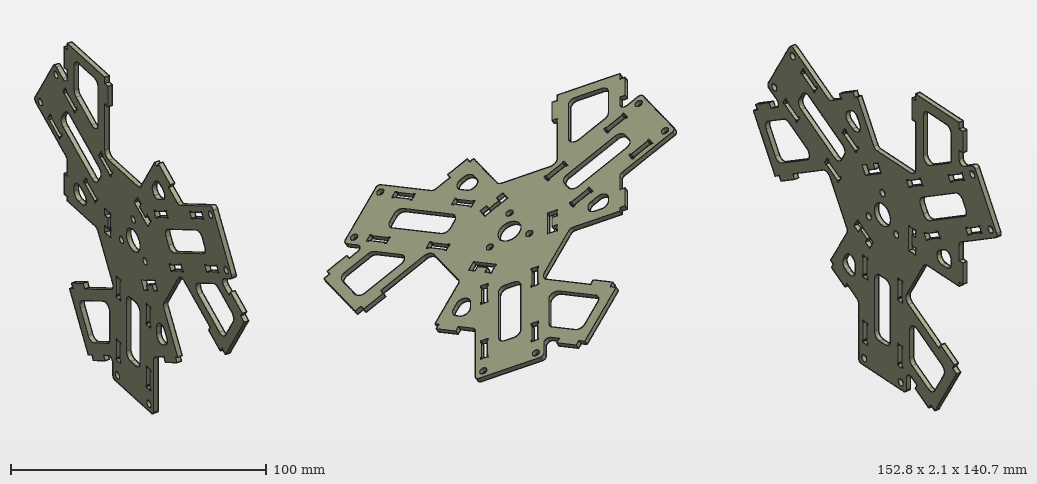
import cadquery as cq
import math

thickness = 2.1
sector_count = 3
sector_angle = 360 / sector_count

hub_apothem = 27.8
hub_side_facing = math.radians(210)
bore_diameter = 10.0
hub_screw_circle_radius = 10.0
screw_diameter = 3.0

arm_angle = 150
arm_half_width = 15.0
arm_end = 75.0
arm_tip_radius = 1.7
arm_screw_along = 71.7
arm_screw_across = 11.5
arm_window_start = 28.7
arm_window_end = 59.1
arm_window_width = 9.8
bone_slot_along = (29.6, 59.7)
bone_slot_across = 11.0
bone_slot_width = 2.5
bone_cap_width = 3.2
bone_cap_length = 0.8

panel_left = -48.1
panel_right = -20.8
panel_bottom = -9.8
panel_top = 65.7
tab_length = 10.0
tab_depth = 2.3
upper_tab_z = 57.8
lower_tab_z = -2.9

opening_left = -43.1
window_right = -25.7
window_top = 61.0
oval_right = -34.2
oval_bottom = -5.0
opening_arm_offset = arm_half_width + thickness
opening_radius = 3.0

hook_left = panel_right
hook_right = -16.5
hook_length = 11.3
hook_tongue_length = 5.0
hook_tongue_depth = 2.3

hub_corner_radius = 3.0
crossing_radius = 2.1
hub_bend_radius = 2.1

arm_cos = math.cos(math.radians(arm_angle))
arm_sin = math.sin(math.radians(arm_angle))


def arm_point(along, across):
    """Point given along the arm and across it (positive across is the upper side)."""
    return (along * arm_cos + across * arm_sin, along * arm_sin - across * arm_cos)


def arm_line_z(x, across):
    """Height at which a line parallel to the arm passes x."""
    return (x * arm_sin - across) / arm_cos


def turned(point, turn):
    """Point rotated clockwise about the centre by a number of sectors."""
    angle = math.radians(-sector_angle * turn)
    x, z = point
    return (x * math.cos(angle) - z * math.sin(angle), x * math.sin(angle) + z * math.cos(angle))


def tab(root_x, tip_x, centre_z, rising):
    """Four outline points of a rectangular tab on an upright panel side."""
    half = tab_length / 2 if rising else -tab_length / 2
    start = centre_z - half
    end = centre_z + half
    return [(root_x, start), (tip_x, start), (tip_x, end), (root_x, end)]


def prism(points):
    """Outline through the full plate thickness, centred on Y = 0."""
    return cq.Workplane("XZ").polyline(points).close().extrude(thickness / 2, both=True)


def round_corners(body, corners, radius):
    """Fillet the edges through the thickness that stand at the given corners."""
    for x, z in corners:
        body = body.edges("|Y").edges(cq.NearestToPointSelector((x, 0, z))).fillet(radius)
    return body


def plate():
    """Solid outline of the whole plate without its openings."""
    hub_bend_x = (hub_apothem - panel_bottom * math.sin(hub_side_facing)) / math.cos(hub_side_facing)
    hub_bend = (hub_bend_x, panel_bottom)
    lower_crossing = (panel_left, arm_line_z(panel_left, -arm_half_width))
    upper_crossing = (panel_left, arm_line_z(panel_left, arm_half_width))
    arm_tips = [arm_point(arm_end, -arm_half_width), arm_point(arm_end, arm_half_width)]
    hub_corner = (panel_right, hub_apothem)
    sector = [
        hub_bend,
        (panel_left, panel_bottom),
        *tab(panel_left, panel_left - tab_depth, lower_tab_z, True),
        lower_crossing,
        *arm_tips,
        upper_crossing,
        *tab(panel_left, panel_left - tab_depth, upper_tab_z, True),
        (panel_left, panel_top),
        (panel_right, panel_top),
        *tab(panel_right, panel_right + tab_depth, upper_tab_z, False),
        hub_corner,
    ]
    turns = range(sector_count)
    body = prism([turned(point, turn) for turn in turns for point in sector])
    for corners, radius in (
        (arm_tips, arm_tip_radius),
        ([lower_crossing, upper_crossing], crossing_radius),
        ([hub_bend], hub_bend_radius),
        ([hub_corner], hub_corner_radius),
    ):
        body = round_corners(body, [turned(c, turn) for turn in turns for c in corners], radius)
    return body


def arm_box(along, across, length, width):
    """Rectangular cutter aligned with the arm."""
    x, z = arm_point(along, across)
    box = cq.Workplane("XY").box(length, thickness, width)
    return box.rotate((0, 0, 0), (0, 1, 0), -arm_angle).translate((x, 0, z))


def hole(point, diameter):
    workplane = cq.Workplane("XZ").center(*point)
    return workplane.circle(diameter / 2).extrude(thickness / 2, both=True)


def bone_slot(along, across):
    """Slot with a slightly wider cap at each end."""
    slot = arm_box(along, across, tab_length, bone_slot_width)
    cap_offset = (tab_length - bone_cap_length) / 2
    for side in (-1, 1):
        slot = slot.union(arm_box(along + side * cap_offset, across, bone_cap_length, bone_cap_width))
    return slot


def panel_opening(right, level_edge, arm_offset):
    """Rounded opening between two upright edges, a level edge and a line parallel to the arm."""
    points = [
        (opening_left, level_edge),
        (right, level_edge),
        (right, arm_line_z(right, arm_offset)),
        (opening_left, arm_line_z(opening_left, arm_offset)),
    ]
    return prism(points).edges("|Y").fillet(opening_radius)


def hook_slot():
    """C-shaped slot with a tongue left standing on its outer side."""
    middle_x = (hook_left + hook_right) / 2
    slot = cq.Workplane("XY").box(hook_right - hook_left, thickness, hook_length)
    tongue = cq.Workplane("XY").box(hook_tongue_depth, thickness, hook_tongue_length)
    tongue_x = hook_left + hook_tongue_depth / 2
    return slot.translate((middle_x, 0, lower_tab_z)).cut(tongue.translate((tongue_x, 0, lower_tab_z)))


def sector_cutters():
    """Cutters for all openings of the first sector."""
    window_length = arm_window_end - arm_window_start
    window_middle = (arm_window_start + arm_window_end) / 2
    arm_window = arm_box(window_middle, 0, window_length, arm_window_width)
    cutters = [
        arm_window.edges("|Y").fillet(opening_radius),
        panel_opening(window_right, window_top, opening_arm_offset),
        panel_opening(oval_right, oval_bottom, -opening_arm_offset),
        hook_slot(),
        hole((0, hub_screw_circle_radius), screw_diameter),
    ]
    for side in (-1, 1):
        cutters.append(hole(arm_point(arm_screw_along, side * arm_screw_across), screw_diameter))
        for along in bone_slot_along:
            cutters.append(bone_slot(along, side * bone_slot_across))
    return cutters


result = plate().cut(hole((0, 0), bore_diameter))
for cutter in sector_cutters():
    for turn in range(sector_count):
        result = result.cut(cutter.rotate((0, 0, 0), (0, 1, 0), sector_angle * turn))